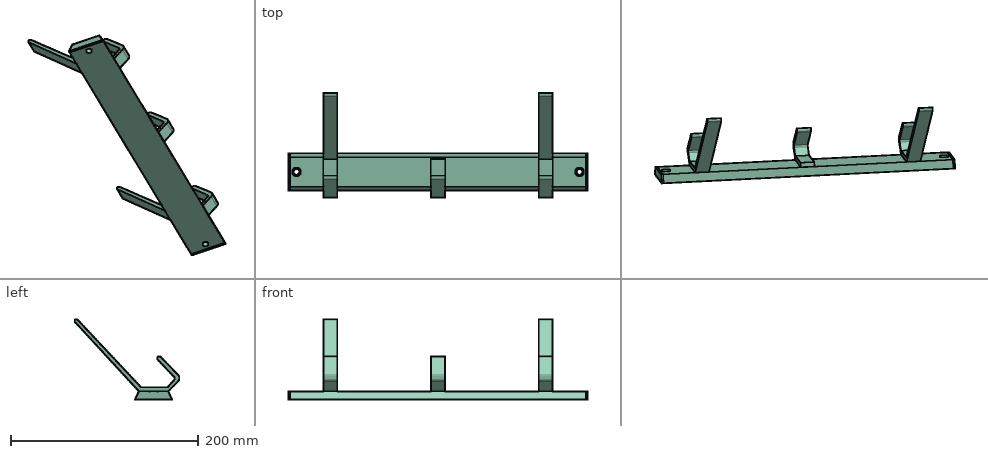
import cadquery as cq
import math

overall_length = 320.0
cap_thickness = 2.08
bar_length = overall_length - 2 * cap_thickness
plate_depth = 40.0
plate_top_depth = 31.7
plate_thickness = 9.0

hole_end_distance = 8.5
hole_spacing = overall_length - 2 * hole_end_distance
hole_diameter = 6.0
countersink_diameter = 9.3
countersink_angle = 80

hook_width = 15.0
hook_pitch = 115.2
base_bottom_y = plate_top_depth / 2
base_thickness = 4.5
base_top_z = plate_thickness + base_thickness
base_top_front_y = -15.0
base_top_rear_y = 13.5
plain_end_y = 15.0

outer_bend = (-29.8, 23.0)
inner_bend = (-23.5, 22.7)
outer_bend_radius = 5.0
inner_bend_radius = 2.0
prong_tip_center = (-6.0, 44.0)
prong_tip_radius = 2.2

arm_tip_center = (82.5, 84.0)
arm_tip_radius = 2.0


def plate_section(x_start, length):
    """Length of the backplate's trapezoidal section, running along X from x_start."""
    half_bottom = plate_depth / 2
    half_top = plate_top_depth / 2
    outline = [
        (-half_bottom, 0),
        (half_bottom, 0),
        (half_top, plate_thickness),
        (-half_top, plate_thickness),
    ]
    return cq.Workplane("YZ", origin=(x_start, 0, 0)).polyline(outline).close().extrude(length)


def make_bar():
    """Main length of the backplate, with a countersunk screw hole near each end."""
    bar = plate_section(-bar_length / 2, bar_length)
    hole_centers = [(-hole_spacing / 2, 0), (hole_spacing / 2, 0)]
    return (
        bar.faces(">Z")
        .workplane(origin=(0, 0, plate_thickness))
        .pushPoints(hole_centers)
        .cskHole(hole_diameter, countersink_diameter, countersink_angle)
    )


def make_end_cap(x_start):
    return plate_section(x_start, cap_thickness)


def point_on_circle(center, radius, angle):
    return (center[0] + radius * math.cos(angle), center[1] + radius * math.sin(angle))


def round_tip(center, radius, lower_start, upper_start):
    """Lower touch point, end point and upper touch point of a round tip.

    The straight edges from lower_start and upper_start meet the tip circle tangentially.
    """
    touch_angles = []
    for start, side in ((lower_start, -1), (upper_start, 1)):
        dy = start[0] - center[0]
        dz = start[1] - center[1]
        toward_start = math.atan2(dz, dy)
        touch_angles.append(toward_start - side * math.acos(radius / math.hypot(dy, dz)))
    lower_angle, upper_angle = touch_angles
    sweep = (upper_angle - lower_angle) % (2 * math.pi)
    angles = (lower_angle, lower_angle + sweep / 2, upper_angle)
    return [point_on_circle(center, radius, angle) for angle in angles]


def make_hook(x_center, has_rear_arm):
    """Hook standing on the plate; without the rear arm its base ends in a short slope."""
    base_front = (-base_bottom_y, plate_thickness)
    base_rear = (base_bottom_y if has_rear_arm else plain_end_y, plate_thickness)
    top_front = (base_top_front_y, base_top_z)
    top_rear = (base_top_rear_y, base_top_z)

    inner_touch, prong_end, outer_touch = round_tip(
        prong_tip_center, prong_tip_radius, inner_bend, outer_bend
    )
    profile = (
        cq.Workplane("YZ", origin=(x_center - hook_width / 2, 0, 0))
        .moveTo(*base_front)
        .lineTo(*outer_bend)
        .lineTo(*outer_touch)
        .threePointArc(prong_end, inner_touch)
        .lineTo(*inner_bend)
        .lineTo(*top_front)
        .lineTo(*top_rear)
    )

    if has_rear_arm:
        lower_touch, arm_end, upper_touch = round_tip(
            arm_tip_center, arm_tip_radius, base_rear, top_rear
        )
        profile = profile.lineTo(*upper_touch).threePointArc(arm_end, lower_touch)
    profile = profile.lineTo(*base_rear)
    hook = profile.close().extrude(hook_width)

    for bend, radius in ((outer_bend, outer_bend_radius), (inner_bend, inner_bend_radius)):
        hook = hook.edges(cq.NearestToPointSelector((x_center, *bend))).fillet(radius)
    return hook


bar = make_bar()
end_caps = [make_end_cap(x_start) for x_start in (-overall_length / 2, bar_length / 2)]
arm_hooks = [make_hook(x_center, has_rear_arm=True) for x_center in (-hook_pitch, hook_pitch)]
middle_hook = make_hook(0, has_rear_arm=False)

bodies = [bar, *end_caps, *arm_hooks, middle_hook]
result = cq.Compound.makeCompound([body.val() for body in bodies])